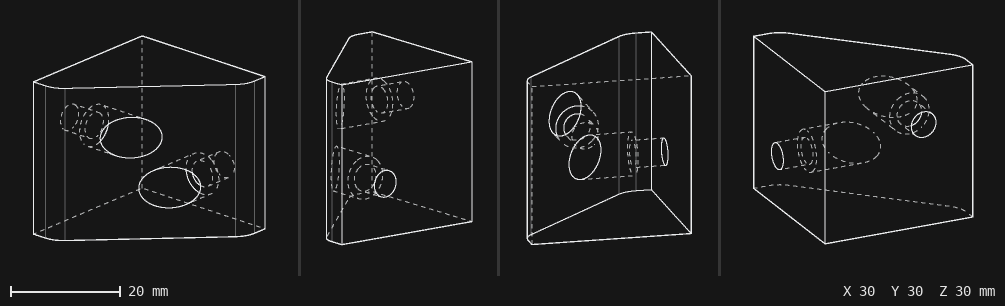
import cadquery as cq

size = 30.0
end_width = 5.0
end_radius = 5.0
hole_diameter = 5.0
counterbore_diameter = 8.0
seat_thickness = 6.0

near_third = size / 3
far_third = 2 * size / 3


def bracket_body():
    """Corner block with a 45 degree face and rounded leg ends."""
    return (
        cq.Workplane("XY")
        .moveTo(0, 0)
        .lineTo(end_width, 0)
        .lineTo(size, size - end_width)
        .lineTo(size, size)
        .lineTo(0, size)
        .close()
        .extrude(size)
        .edges("|Z and (not <X) and (not >Y)")
        .fillet(end_radius)
    )


def screw_cutter(mounting_point, direction):
    """Through hole from a mounting face, widened beyond the screw seat."""
    axis = cq.Vector(*direction)
    start = cq.Vector(*mounting_point)
    seat = start + axis * seat_thickness
    hole = cq.Solid.makeCylinder(hole_diameter / 2, size, start, axis)
    counterbore = cq.Solid.makeCylinder(counterbore_diameter / 2, size, seat, axis)
    return hole.fuse(counterbore)


upper_screw = screw_cutter((0, near_third, far_third), (1, 0, 0))
lower_screw = screw_cutter((far_third, size, near_third), (0, -1, 0))

result = bracket_body().cut(upper_screw).cut(lower_screw)